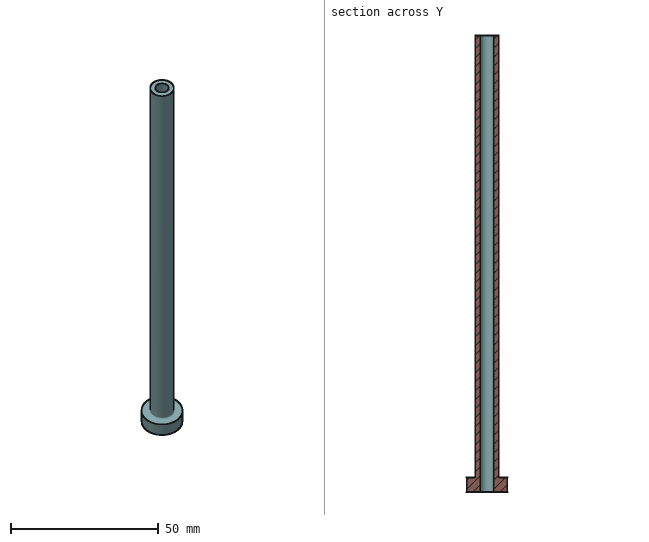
import cadquery as cq

total_length = 155.0
head_diameter = 14.0
head_height = 5.0
tube_diameter = 8.0
bore_diameter = 4.5
neck_fillet_radius = 0.5

head = cq.Workplane("XY").circle(head_diameter / 2).extrude(head_height)
tube = cq.Workplane("XY").circle(tube_diameter / 2).extrude(total_length)
body = head.union(tube)

neck_edge = cq.selectors.BoxSelector(
    (-head_diameter / 2, -head_diameter / 2, head_height - neck_fillet_radius),
    (head_diameter / 2, head_diameter / 2, head_height + neck_fillet_radius),
)
neck = body.edges(neck_edge).edges(cq.selectors.RadiusNthSelector(0))
body = neck.fillet(neck_fillet_radius)

bore = cq.Workplane("XY").circle(bore_diameter / 2).extrude(total_length)
result = body.cut(bore)